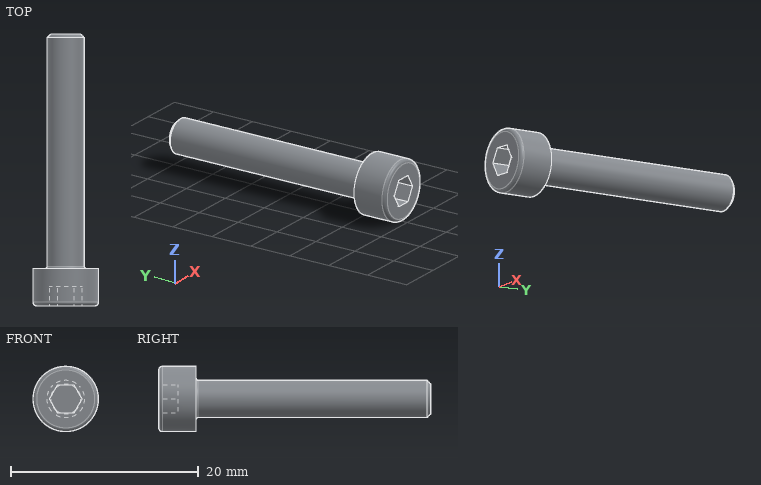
import cadquery as cq
import math

total_length = 29.0
head_diameter = 7.0
head_height = 4.0
shank_diameter = 4.0
head_edge_radius = 0.4
tip_chamfer = 0.4
neck_radius = 0.2
socket_across_flats = 3.02
socket_depth = 2.05

head_face_y = -total_length / 2
head_radius = head_diameter / 2
shank_radius = shank_diameter / 2
tip_y = total_length / 2
bearing_y = head_face_y + head_height


def arc_middle_offset(radius):
    """Distance along each axis from a square corner to the middle of its rounding arc."""
    return radius * (1 - math.sqrt(0.5))


def screw_body():
    """Revolve the half profile, drawn as (radius, Y), about the Y axis."""
    edge_offset = arc_middle_offset(head_edge_radius)
    neck_offset = arc_middle_offset(neck_radius)
    profile = (
        cq.Workplane("XY")
        .moveTo(0, head_face_y)
        .lineTo(head_radius - head_edge_radius, head_face_y)
        .threePointArc(
            (head_radius - edge_offset, head_face_y + edge_offset),
            (head_radius, head_face_y + head_edge_radius),
        )
        .lineTo(head_radius, bearing_y)
        .lineTo(shank_radius + neck_radius, bearing_y)
        .threePointArc(
            (shank_radius + neck_offset, bearing_y + neck_offset),
            (shank_radius, bearing_y + neck_radius),
        )
        .lineTo(shank_radius, tip_y - tip_chamfer)
        .lineTo(shank_radius - tip_chamfer, tip_y)
        .lineTo(0, tip_y)
        .close()
    )
    return profile.revolve(360, (0, 0, 0), (0, 1, 0))


def hex_socket():
    """Hexagonal recess with two corners on the X axis."""
    across_corners = socket_across_flats / math.cos(math.radians(30))
    return (
        cq.Workplane("XZ", origin=(0, head_face_y, 0))
        .polygon(6, across_corners)
        .extrude(-socket_depth)
    )


result = screw_body().cut(hex_socket())